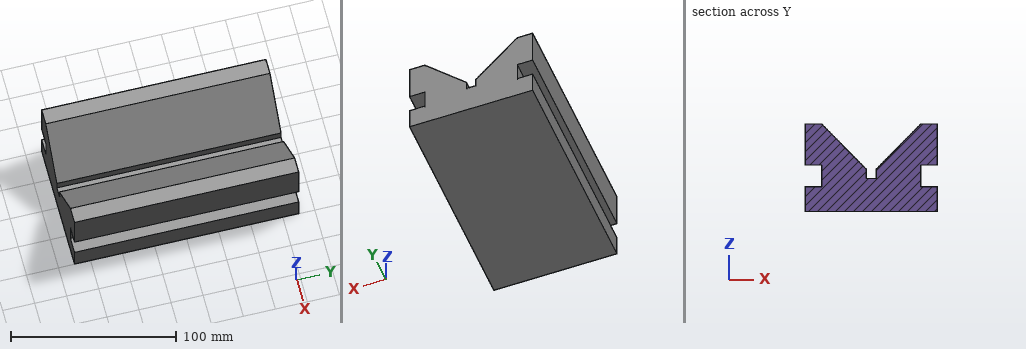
import cadquery as cq

length = 140.0
width = 80.0
height = 53.0

slot_depth = 10.0
slot_bottom = 15.0
slot_top = 28.0

land_width = 10.0
relief_width = 6.0
relief_floor = 20.0
half_width = width / 2
v_half_width = half_width - land_width
v_depth = 27.5


def block():
    return cq.Workplane("XY").box(width, length, height, centered=(True, True, False))


def side_slot(side):
    slot_height = slot_top - slot_bottom
    return (
        cq.Workplane("XY")
        .box(2 * slot_depth, length, slot_height, centered=(True, True, False))
        .translate((side * half_width, 0, slot_bottom))
    )


def v_groove():
    half_relief = relief_width / 2
    v_root = height - v_depth
    return (
        cq.Workplane("XZ")
        .polyline([
            (-v_half_width, height),
            (-half_relief, v_root),
            (-half_relief, relief_floor),
            (half_relief, relief_floor),
            (half_relief, v_root),
            (v_half_width, height),
        ])
        .close()
        .extrude(length / 2, both=True)
    )


result = block().cut(v_groove())
for side in (-1, 1):
    result = result.cut(side_slot(side))